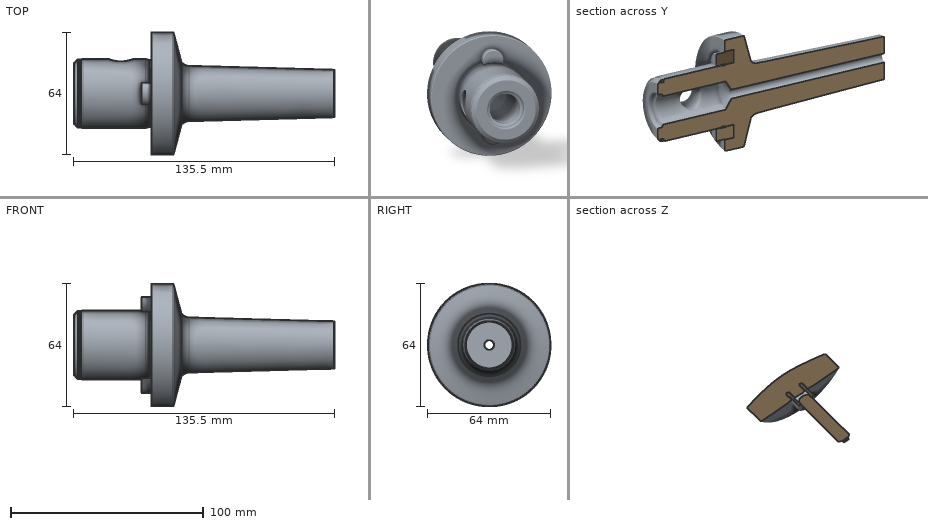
import cadquery as cq
import math

TOTAL_LENGTH = 135.5

SPIGOT_RADIUS = 18.0
SPIGOT_FACE_RADIUS = 15.7
SPIGOT_LEAD_RADIUS = 17.8
SPIGOT_FACE_CHAMFER_LENGTH = 1.9
SPIGOT_START = 4.6
SPIGOT_END = 37.1

GROOVE_START = 2.2
GROOVE_END = 3.7
GROOVE_DEPTH = 1.4
RING_CHAMFER = 0.4

UNDERCUT_RADIUS = 17.5
UNDERCUT_START = 38.5
UNDERCUT_STEP = 0.5
UNDERCUT_ARC_START = 39.8
UNDERCUT_ARC_RADIUS = 0.7
UNDERCUT_RIM_RADIUS = 19.8

FLANGE_RADIUS = 32.0
FLANGE_START = 40.1
FLANGE_CHAMFER = 0.4
FLANGE_END = 51.8
FLANGE_FILLET = 1.0
CONE_END = 56.0
CONE_END_RADIUS = 16.3

SHANK_START = 59.6
SHANK_START_RADIUS = 14.5
SHANK_END_RADIUS = 12.5
SHANK_CHAMFER = 0.4

BORE_RADIUS = 8.0
BORE_DEPTH = 40.6
BORE_RECESS_RADIUS = 9.5
BORE_RECESS_DEPTH = 2.5
BORE_MOUTH_ROUNDING = 1.0
BORE_SEAT_ANGLE = math.radians(60)
DRILL_POINT_ANGLE = math.radians(59)
THROUGH_HOLE_RADIUS = 2.5

SIDE_HOLE_RADIUS = 6.5
SIDE_HOLE_X = 24.4

PIN_RADIUS = 5.5
PIN_OFFSET = 19.5
PIN_START = 35.0
PIN_LENGTH = 10.3
PIN_CHAMFER = 0.4


def turned(profile):
    """Revolve a profile drawn in the XY plane about the X axis."""
    return profile.close().revolve(360, (0, 0, 0), (1, 0, 0))


def neck_arc_middle():
    """Middle of the hollow arc that runs from the flange cone out level at the shank."""
    run = SHANK_START - CONE_END
    rise = CONE_END_RADIUS - SHANK_START_RADIUS
    radius = (run**2 + rise**2) / (2 * rise)
    half_angle = math.asin(run / radius) / 2
    return (
        SHANK_START - radius * math.sin(half_angle),
        SHANK_START_RADIUS + radius * (1 - math.cos(half_angle)),
    )


def round_flange_back(blank):
    """Round the edge between the flange rim and the conical back."""
    edge_slab = cq.selectors.BoxSelector(
        (FLANGE_END - FLANGE_FILLET, -FLANGE_RADIUS, -FLANGE_RADIUS),
        (FLANGE_END + FLANGE_FILLET, FLANGE_RADIUS, FLANGE_RADIUS),
    )
    return blank.edges("%CIRCLE").edges(edge_slab).fillet(FLANGE_FILLET)


def arbor_blank():
    arc_bottom = (UNDERCUT_ARC_START, UNDERCUT_RADIUS)
    arc_end = (UNDERCUT_ARC_START + UNDERCUT_ARC_RADIUS, UNDERCUT_RADIUS + UNDERCUT_ARC_RADIUS)
    profile = (
        cq.Workplane("XY")
        .moveTo(0, 0)
        .lineTo(0, SPIGOT_FACE_RADIUS)
        .lineTo(SPIGOT_FACE_CHAMFER_LENGTH, SPIGOT_LEAD_RADIUS)
        .lineTo(GROOVE_END, SPIGOT_LEAD_RADIUS)
        .lineTo(SPIGOT_START, SPIGOT_RADIUS)
        .lineTo(SPIGOT_END, SPIGOT_RADIUS)
        .lineTo(UNDERCUT_START, SPIGOT_LEAD_RADIUS)
        .lineTo(UNDERCUT_START + UNDERCUT_STEP, UNDERCUT_RADIUS)
        .lineTo(*arc_bottom)
        .tangentArcPoint(arc_end, relative=False)
        .lineTo(FLANGE_START, UNDERCUT_RIM_RADIUS)
        .lineTo(FLANGE_START, FLANGE_RADIUS - FLANGE_CHAMFER)
        .lineTo(FLANGE_START + FLANGE_CHAMFER, FLANGE_RADIUS)
        .lineTo(FLANGE_END, FLANGE_RADIUS)
        .lineTo(CONE_END, CONE_END_RADIUS)
        .threePointArc(neck_arc_middle(), (SHANK_START, SHANK_START_RADIUS))
        .lineTo(TOTAL_LENGTH - SHANK_CHAMFER, SHANK_END_RADIUS)
        .lineTo(TOTAL_LENGTH, SHANK_END_RADIUS - SHANK_CHAMFER)
        .lineTo(TOTAL_LENGTH, 0)
    )
    return round_flange_back(turned(profile))


def central_bore():
    seat_depth = BORE_RECESS_DEPTH + (BORE_RECESS_RADIUS - BORE_RADIUS) / math.tan(BORE_SEAT_ANGLE)
    tip_depth = BORE_DEPTH + (BORE_RADIUS - THROUGH_HOLE_RADIUS) / math.tan(DRILL_POINT_ANGLE)
    profile = (
        cq.Workplane("XY")
        .moveTo(0, 0)
        .lineTo(0, BORE_RECESS_RADIUS + BORE_MOUTH_ROUNDING)
        .radiusArc((BORE_MOUTH_ROUNDING, BORE_RECESS_RADIUS), -BORE_MOUTH_ROUNDING)
        .lineTo(BORE_RECESS_DEPTH, BORE_RECESS_RADIUS)
        .lineTo(seat_depth, BORE_RADIUS)
        .lineTo(BORE_DEPTH, BORE_RADIUS)
        .lineTo(tip_depth, THROUGH_HOLE_RADIUS)
        .lineTo(TOTAL_LENGTH, THROUGH_HOLE_RADIUS)
        .lineTo(TOTAL_LENGTH, 0)
    )
    return turned(profile)


def side_hole():
    hole = cq.Workplane("XZ").center(SIDE_HOLE_X, 0).circle(SIDE_HOLE_RADIUS)
    return hole.extrude(-SPIGOT_RADIUS)


def groove_band():
    """Square-edged band that fills the groove flush with the spigot nose."""
    floor_radius = SPIGOT_LEAD_RADIUS - GROOVE_DEPTH
    section = cq.Workplane("YZ", origin=(GROOVE_START, 0, 0))
    section = section.circle(SPIGOT_LEAD_RADIUS).circle(floor_radius)
    return section.extrude(GROOVE_END - GROOVE_START)


def make_ring():
    outer_edges = cq.selectors.RadiusNthSelector(-1)
    return groove_band().edges(outer_edges).chamfer(RING_CHAMFER)


def make_pin(side):
    """Round pin hollowed on its inner side to sit on the spigot; side is +1 for +Z, -1 for -Z."""
    pin = (
        cq.Workplane("YZ", origin=(PIN_START, 0, side * PIN_OFFSET))
        .circle(PIN_RADIUS)
        .extrude(PIN_LENGTH)
    )
    spigot = cq.Workplane("YZ").circle(SPIGOT_RADIUS).extrude(PIN_START + PIN_LENGTH)
    return pin.cut(spigot).faces("<X").chamfer(PIN_CHAMFER)


def make_arbor(pins):
    arbor = arbor_blank().cut(central_bore()).cut(side_hole()).cut(groove_band())
    for pin in pins:
        arbor = arbor.cut(pin)
    return arbor


pins = [make_pin(side) for side in (1, -1)]
ring = make_ring()
arbor = make_arbor(pins)

result = cq.Compound.makeCompound([arbor.val(), ring.val(), *[pin.val() for pin in pins]])